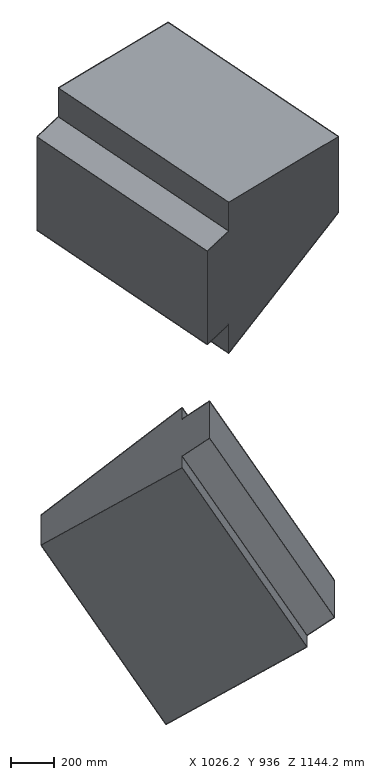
import cadquery as cq
import math

LENGTH = 1026.16
DEPTH = 935.95
SHOULDER_HEIGHT = 1144.16
TONGUE_DEPTH = 152.4
TONGUE_HEIGHT = 708.0
TAPER_ANGLE = 20.0

front_y = -DEPTH / 2
back_y = DEPTH / 2
shoulder_y = front_y + TONGUE_DEPTH
wedge_depth = back_y - shoulder_y
half_shoulder = SHOULDER_HEIGHT / 2
half_tongue = TONGUE_HEIGHT / 2
half_back = half_shoulder - wedge_depth * math.tan(math.radians(TAPER_ANGLE))


def block_profile():
    """Closed Y-Z outline: a wedge narrowing to the back, with a rectangular tongue in front."""
    return cq.Workplane("YZ").polyline([
        (front_y, -half_tongue),
        (shoulder_y, -half_tongue),
        (shoulder_y, -half_shoulder),
        (back_y, -half_back),
        (back_y, half_back),
        (shoulder_y, half_shoulder),
        (shoulder_y, half_tongue),
        (front_y, half_tongue),
    ]).close()


result = block_profile().extrude(LENGTH / 2, both=True)